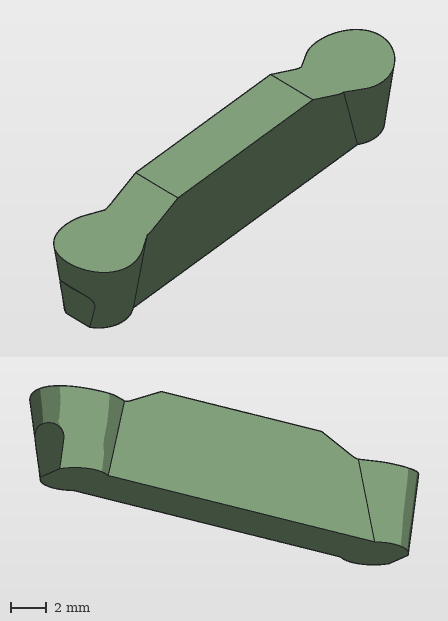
import cadquery as cq
import math

length = 26.07
height = 5.8
bar_width = 3.2

base_radius = 1.95
tip_height = 4.82
relief_angle = 7.0
flank_angle = 30.0

top_half_length = 5.63
slope_angle = 25.0
ramp_angle = 5.0
slope_foot_y = 7.95
blend_radius = 1.17
bowl_start_y = 9.65

flat_y = 12.23
flat_height = 1.67
flat_arc_radius = 1.4


def tangent(angle):
    return math.tan(math.radians(angle))


tip_y = length / 2
tip_radius = base_radius + tip_height * tangent(relief_angle)
head_center_y = tip_y - tip_radius


def teardrop(z):
    """Horizontal section of the -Y head: an arc with two tangent flanks meeting inside the bar."""
    radius = base_radius + z * tangent(relief_angle)
    flank = math.radians(flank_angle)
    touch_x = radius * math.cos(flank)
    touch_y = -head_center_y + radius * math.sin(flank)
    apex_y = -head_center_y + radius / math.sin(flank)
    return (
        cq.Workplane("XY", origin=(0, 0, z))
        .moveTo(0, apex_y)
        .lineTo(-touch_x, touch_y)
        .threePointArc((0, -head_center_y - radius), (touch_x, touch_y))
        .close()
        .wire()
        .val()
    )


def make_relief_cutter():
    """Material outside the relief flat, rounded outward at its top."""
    outer_y = -length
    arc_center_y = -flat_y - flat_arc_radius
    arc_top = flat_height + flat_arc_radius
    half_root = math.sqrt(0.5)
    return (
        cq.Workplane("YZ")
        .moveTo(outer_y, 0)
        .lineTo(-flat_y, 0)
        .lineTo(-flat_y, flat_height)
        .threePointArc(
            (arc_center_y + flat_arc_radius * half_root, flat_height + flat_arc_radius * half_root),
            (arc_center_y, arc_top),
        )
        .lineTo(outer_y, arc_top)
        .close()
        .extrude(bar_width, both=True)
    )


def make_head():
    head = cq.Workplane(cq.Solid.makeLoft([teardrop(0), teardrop(height)], True))
    return head.cut(make_relief_cutter())


def make_side_envelope():
    """Half of the side outline, from the -Y tip to the middle, extruded across the part."""
    foot_z = height - (slope_foot_y - top_half_length) * tangent(slope_angle)
    bowl_start_z = foot_z - (bowl_start_y - slope_foot_y) * tangent(ramp_angle)
    envelope = (
        cq.Workplane("YZ")
        .moveTo(0, 0)
        .lineTo(0, height)
        .lineTo(-top_half_length, height)
        .lineTo(-slope_foot_y, foot_z)
        .lineTo(-bowl_start_y, bowl_start_z)
        .tangentArcPoint((-tip_y, tip_height), relative=False)
        .lineTo(-tip_y, 0)
        .close()
        .extrude(bar_width, both=True)
    )
    blend_edge = cq.selectors.NearestToPointSelector((0, -slope_foot_y, foot_z))
    return envelope.edges("|X").edges(blend_edge).fillet(blend_radius)


half_bar = cq.Workplane("XY").box(
    bar_width, head_center_y, height, centered=(True, False, False)
).translate((0, -head_center_y, 0))
half = half_bar.union(make_head()).intersect(make_side_envelope())

result = half.union(half.mirror("XZ")).clean()